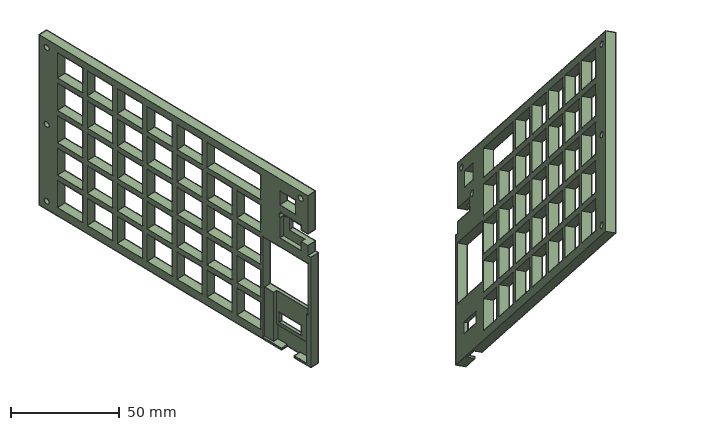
import cadquery as cq

WIDTH = 173.5
HEIGHT = 100.0
THICKNESS = 5.0
UPPER_RIGHT_X = 171.5
STEP_Z = 64.9

COLUMNS = 7
ROWS = 5
KEY_PITCH = 19.0
KEY_SIZE = 16.0
KEY_LEFT = 11.8
KEY_BOTTOM = 4.9
LAST_COLUMN_WIDTH = 15.1
TOP_ROW_HEIGHT = 14.7

HOLE_DIAMETER = 3.1
LEFT_HOLE_INSET = 4.9
UPPER_RIGHT_HOLE = (166.8, 96.0)
RECESS_HOLE = (154.7, 78.5)

WINDOW_LEFT, WINDOW_RIGHT = 153.7, 163.5
WINDOW_BOTTOM, WINDOW_TOP = 84.8, 93.1

SLOT_LEFT = 157.3
SLOT_BOTTOM, SLOT_TOP = 70.8, 77.5
RECESS_LEFT = WINDOW_LEFT
RECESS_RIGHT = 167.2
RECESS_BOTTOM, RECESS_TOP = 65.4, 80.6
RECESS_DEPTH = 2.5

OPENING_LEFT = 142.7
OPENING_BOTTOM, OPENING_TOP = 29.8, 60.2
LEDGE_DEPTH = 1.2
POCKET_LEFT, POCKET_RIGHT = 148.5, 170.5
POCKET_DEPTH = 3.3
DEEP_POCKET_TOP = 9.9
DEEP_POCKET_DEPTH = 4.0
RIM_HEIGHT = 1.0

CONNECTOR_LEFT, CONNECTOR_RIGHT = 150.0, 164.0
CONNECTOR_BOTTOM, CONNECTOR_TOP = 12.0, 17.9
NOTCH_LEFT, NOTCH_RIGHT = 154.7, 162.7


def block(left, right, bottom, top, depth=THICKNESS):
    """Box reaching back from the front face by the given depth."""
    solid = cq.Workplane("XY").box(right - left, depth, top - bottom, centered=False)
    return solid.translate((left, 0, bottom))


def key_openings():
    """Grid of key openings; the last two in the top row are joined."""
    openings = cq.Workplane("XY")
    for row in range(ROWS):
        bottom = KEY_BOTTOM + row * KEY_PITCH
        is_top_row = row == ROWS - 1
        height = TOP_ROW_HEIGHT if is_top_row else KEY_SIZE
        for column in range(COLUMNS):
            left = KEY_LEFT + column * KEY_PITCH
            width = LAST_COLUMN_WIDTH if column == COLUMNS - 1 else KEY_SIZE
            if is_top_row and column == COLUMNS - 2:
                width = KEY_PITCH + LAST_COLUMN_WIDTH
            openings = openings.add(block(left, left + width, bottom, bottom + height))
    return openings.combine()


def screw_holes():
    left_heights = (LEFT_HOLE_INSET, HEIGHT / 2, HEIGHT - LEFT_HOLE_INSET)
    centers = [(LEFT_HOLE_INSET, z) for z in left_heights]
    centers += [UPPER_RIGHT_HOLE, RECESS_HOLE]
    return cq.Workplane("XZ").pushPoints(centers).circle(HOLE_DIAMETER / 2).extrude(-THICKNESS)


def side_slot():
    slot = block(SLOT_LEFT, WIDTH, SLOT_BOTTOM, SLOT_TOP)
    recess = block(RECESS_LEFT, RECESS_RIGHT, RECESS_BOTTOM, RECESS_TOP, RECESS_DEPTH)
    return slot.union(recess)


def stepped_pocket():
    """Ledge, pocket and deeper lower pocket, opening upward into the large opening."""
    ledge = block(OPENING_LEFT, POCKET_LEFT, RIM_HEIGHT, OPENING_BOTTOM, LEDGE_DEPTH)
    pocket = block(POCKET_LEFT, POCKET_RIGHT, RIM_HEIGHT, OPENING_BOTTOM, POCKET_DEPTH)
    deep_pocket = block(POCKET_LEFT, POCKET_RIGHT, RIM_HEIGHT, DEEP_POCKET_TOP, DEEP_POCKET_DEPTH)
    notch = block(NOTCH_LEFT, NOTCH_RIGHT, 0, RIM_HEIGHT, DEEP_POCKET_DEPTH)
    connector = block(CONNECTOR_LEFT, CONNECTOR_RIGHT, CONNECTOR_BOTTOM, CONNECTOR_TOP)
    return ledge.union(pocket).union(deep_pocket).union(notch).union(connector)


plate = block(0, WIDTH, 0, STEP_Z).union(block(0, UPPER_RIGHT_X, STEP_Z, HEIGHT))
window = block(WINDOW_LEFT, WINDOW_RIGHT, WINDOW_BOTTOM, WINDOW_TOP)
opening = block(OPENING_LEFT, UPPER_RIGHT_X, OPENING_BOTTOM, OPENING_TOP)

result = plate.cut(key_openings()).cut(screw_holes())
result = result.cut(window).cut(side_slot())
result = result.cut(opening).cut(stepped_pocket())